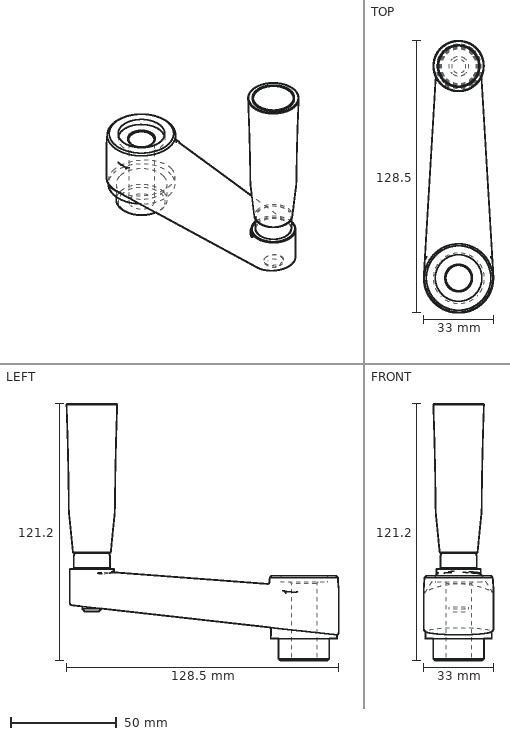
import cadquery as cq
import math

crank_length = 100.0

hub_radius = 16.5
hub_top = 40.15
barrel_top = 34.2
collar_top_radius = 16.1
collar_chamfer = 0.9
lower_collar_radius = 15.7
lower_collar_draft = 0.2
lower_collar_bottom = 10.4
stub_radius = 12.0
stub_chamfer = 1.0
recess_diameter = 22.0
recess_depth = 3.0
bore_diameter = 12.0
bore_chamfer = 0.5

end_radius = 10.5
crown_radius = 45.0
crown_start = 35.0
crown_slope = 0.0753
underside_start = 13.85
underside_slope = 0.112
arm_edge_fillet = 1.2
hub_blend_radius = 0.8
boss_blend_radius = 0.5

boss_top = 43.5
boss_bottom = boss_top - end_radius
boss_chamfer = 0.4

sleeve_radius = 8.6
sleeve_top_taper = 0.4
sleeve_taper_start = 49.4
sleeve_base_chamfer = 0.3
grip_bottom = 50.7
grip_bottom_radius = 9.0
grip_bottom_chamfer = 0.5
grip_joint = 70.1
grip_joint_radius = 10.9
grip_lower_middle = (9.95, 60.8)
grip_upper_middle = (11.3, 97.0)
grip_top = 121.15
grip_top_radius = 12.0
grip_top_chamfer = 0.3
cap_groove_outer_radius = 9.95
cap_groove_inner_radius = 9.5
cap_groove_depth = 0.4

rivet_bottom = 23.1
rivet_diameter = 9.28
rivet_tip_diameter = 6.5

reach = 2 * crank_length


def disc(radius, bottom, top, y=0.0):
    """Upright cylinder between two heights."""
    return cq.Workplane("XY", origin=(0, y, bottom)).circle(radius).extrude(top - bottom)


def turned(profile, y=0.0):
    """Solid of revolution about the upright axis at the given Y; profile is drawn in (radius, z)."""
    return profile.close().revolve(360, (0, 0, 0), (0, 1, 0)).translate((0, y, 0))


def arm_plan():
    """Prism over the plan outline of the arm, up to the top of the boss."""
    sine = (hub_radius - end_radius) / crank_length
    cosine = math.sqrt(1 - sine**2)
    hub_x = hub_radius * cosine
    hub_y = hub_radius * sine
    end_x = end_radius * cosine
    end_y = crank_length + end_radius * sine
    return (
        cq.Workplane("XY")
        .moveTo(hub_x, hub_y)
        .lineTo(end_x, end_y)
        .threePointArc((0, crank_length + end_radius), (-end_x, end_y))
        .lineTo(-hub_x, hub_y)
        .threePointArc((0, -hub_radius), (hub_x, hub_y))
        .close()
        .extrude(boss_top)
    )


def crown_cylinder():
    """Long cylinder lying along the slope of the arm; its upper side is the crowned top face."""
    crown_angle = math.degrees(math.atan(crown_slope))
    return (
        cq.Workplane("XZ")
        .center(0, -crown_radius)
        .circle(crown_radius)
        .extrude(reach, both=True)
        .rotate((0, 0, 0), (1, 0, 0), crown_angle)
        .translate((0, 0, crown_start))
    )


def make_arm():
    underside_angle = math.degrees(math.atan(underside_slope))
    below = (
        cq.Workplane("XY")
        .rect(2 * reach, 2 * reach)
        .extrude(-reach)
        .rotate((0, 0, 0), (1, 0, 0), underside_angle)
        .translate((0, 0, underside_start))
    )
    arm = arm_plan().intersect(crown_cylinder()).cut(below)
    return arm.faces(">Z or <Z").edges().fillet(arm_edge_fillet)


def tapered_collar(bottom):
    """Upper hub collar, its taper carried down to the given height."""
    taper = (hub_radius - collar_top_radius) / (hub_top - barrel_top)
    bottom_radius = hub_radius + taper * (barrel_top - bottom)
    return turned(
        cq.Workplane("XZ")
        .moveTo(0, bottom)
        .lineTo(bottom_radius, bottom)
        .lineTo(collar_top_radius, hub_top)
        .lineTo(0, hub_top)
    )


def make_hub_blend():
    """Fillet where the crowned top of the arm runs into the upper collar."""
    blend_bottom = crown_start - hub_radius / 2
    collar = tapered_collar(blend_bottom)
    half_box = hub_radius + 2 * hub_blend_radius
    joint_box = ((-half_box, -half_box, blend_bottom), (half_box, half_box, hub_top - collar_chamfer))
    blend = crown_cylinder().union(collar)
    joint = blend.edges(cq.selectors.BoxSelector(*joint_box, boundingbox=True))
    blend = joint.fillet(hub_blend_radius)
    ring = disc(half_box, blend_bottom, hub_top - collar_chamfer)
    return blend.intersect(ring).intersect(arm_plan())


def make_hub():
    barrel_bottom = (underside_start + barrel_top) / 2
    barrel = disc(hub_radius, barrel_bottom, barrel_top)
    upper_collar = tapered_collar(barrel_top).faces(">Z").chamfer(collar_chamfer)
    lower_collar = turned(
        cq.Workplane("XZ")
        .moveTo(0, lower_collar_bottom)
        .lineTo(lower_collar_radius, lower_collar_bottom)
        .lineTo(lower_collar_radius - lower_collar_draft, barrel_bottom)
        .lineTo(0, barrel_bottom)
    )
    stub = disc(stub_radius, 0, barrel_bottom).faces("<Z").chamfer(stub_chamfer)
    return barrel.union(upper_collar).union(lower_collar).union(stub)


def add_boss(arm):
    """Join the grip boss to the arm and blend it into the crowned top."""
    boss = disc(end_radius, boss_bottom, boss_top, crank_length)
    boss = boss.faces(">Z").chamfer(boss_chamfer)
    joint_near = (-end_radius - boss_blend_radius, crank_length - end_radius - boss_blend_radius, boss_bottom)
    joint_far = (end_radius + boss_blend_radius, crank_length + end_radius / 2, boss_top - boss_chamfer / 2)
    joint = cq.selectors.BoxSelector(joint_near, joint_far, boundingbox=True)
    return arm.union(boss).edges(joint).fillet(boss_blend_radius)


def make_grip():
    sleeve = turned(
        cq.Workplane("XZ")
        .moveTo(0, boss_top)
        .lineTo(sleeve_radius - sleeve_base_chamfer, boss_top)
        .lineTo(sleeve_radius, boss_top + sleeve_base_chamfer)
        .lineTo(sleeve_radius, sleeve_taper_start)
        .lineTo(sleeve_radius - sleeve_top_taper, grip_bottom)
        .lineTo(0, grip_bottom),
        crank_length,
    )
    handle = turned(
        cq.Workplane("XZ")
        .moveTo(0, grip_bottom)
        .lineTo(grip_bottom_radius - grip_bottom_chamfer, grip_bottom)
        .lineTo(grip_bottom_radius, grip_bottom + grip_bottom_chamfer)
        .threePointArc(grip_lower_middle, (grip_joint_radius, grip_joint))
        .threePointArc(grip_upper_middle, (grip_top_radius, grip_top - grip_top_chamfer))
        .lineTo(grip_top_radius - grip_top_chamfer, grip_top)
        .lineTo(0, grip_top),
        crank_length,
    )
    groove_floor = grip_top - cap_groove_depth
    cap = disc(cap_groove_inner_radius, groove_floor, grip_top, crank_length)
    cap_groove = disc(cap_groove_outer_radius, groove_floor, grip_top, crank_length).cut(cap)
    return sleeve.union(handle).cut(cap_groove)


def make_rivet_head():
    head = disc(rivet_diameter / 2, rivet_bottom, boss_bottom, crank_length)
    return head.faces("<Z").chamfer((rivet_diameter - rivet_tip_diameter) / 2)


def make_bore():
    recess_floor = hub_top - recess_depth
    recess = disc(recess_diameter / 2, recess_floor, hub_top)
    bore = disc(bore_diameter / 2, 0, hub_top)
    countersink = (
        cq.Workplane("XY", origin=(0, 0, recess_floor))
        .circle(bore_diameter / 2 + bore_chamfer)
        .workplane(offset=-bore_chamfer)
        .circle(bore_diameter / 2)
        .loft()
    )
    return recess.union(bore).union(countersink)


result = add_boss(make_arm()).union(make_hub()).union(make_hub_blend())
result = result.union(make_grip()).union(make_rivet_head()).cut(make_bore())